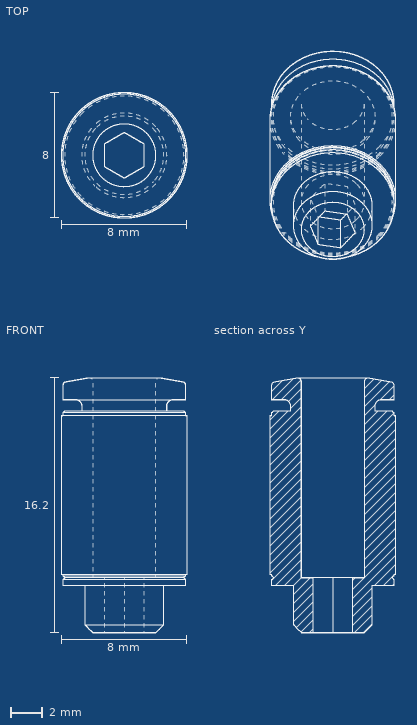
import cadquery as cq
import math

stem_height = 3.0
groove_z = 3.5
sleeve_bottom_z = 3.7
sleeve_top_z = 13.8
body_top_z = 14.1
cap_bottom_z = 14.8
overall_height = 16.2

stem_radius = 5.0 / 2
stem_chamfer = 0.5
body_radius = 7.8 / 2
sleeve_radius = 8.0 / 2
edge_chamfer = 0.12
neck_radius = 5.4 / 2
neck_fillet = 0.4
cap_radius = body_radius
cap_slope = math.radians(10)
rim_fillet = 0.2

bore_radius = 4.0 / 2
bore_lip_fillet = 0.25
bore_floor_z = groove_z
hex_across_flats = 2.5


def arc_point(center, radius, angle):
    """Point on a circle of the (r, z) half-plane; angle 0 points outward."""
    return (
        center[0] + radius * math.cos(angle),
        center[1] + radius * math.sin(angle),
    )


def stem_and_body_outline(profile):
    """Add the outline from the stem tip up to the foot of the neck."""
    chamfered_radius = body_radius - edge_chamfer
    return (
        profile.lineTo(stem_radius - stem_chamfer, 0)
        .lineTo(stem_radius, stem_chamfer)
        .lineTo(stem_radius, stem_height)
        .lineTo(body_radius, stem_height)
        .lineTo(body_radius, groove_z - edge_chamfer)
        .lineTo(chamfered_radius, groove_z)
        .lineTo(body_radius, groove_z + edge_chamfer)
        .lineTo(body_radius, sleeve_bottom_z)
        .lineTo(sleeve_radius, sleeve_bottom_z)
        .lineTo(sleeve_radius, sleeve_top_z)
        .lineTo(body_radius, sleeve_top_z)
        .lineTo(body_radius, body_top_z - edge_chamfer)
        .lineTo(chamfered_radius, body_top_z)
        .lineTo(neck_radius, body_top_z)
    )


def release_cap_outline(profile):
    """Add the flared neck and the cap, whose conical face runs tangent into rim and lip."""
    flare_center = (neck_radius + neck_fillet, cap_bottom_z - neck_fillet)

    cone_normal = math.pi / 2 - cap_slope
    lip_center = (bore_radius + bore_lip_fillet, overall_height - bore_lip_fillet)
    lip_start = arc_point(lip_center, bore_lip_fillet, cone_normal)
    rim_end_radius = cap_radius - rim_fillet + rim_fillet * math.cos(cone_normal)
    rim_end_z = lip_start[1] - (rim_end_radius - lip_start[0]) * math.tan(cap_slope)
    rim_center = (cap_radius - rim_fillet, rim_end_z - rim_fillet * math.sin(cone_normal))

    return (
        profile.lineTo(neck_radius, flare_center[1])
        .threePointArc(
            arc_point(flare_center, neck_fillet, math.radians(135)),
            (flare_center[0], cap_bottom_z),
        )
        .lineTo(cap_radius, cap_bottom_z)
        .lineTo(cap_radius, rim_center[1])
        .threePointArc(
            arc_point(rim_center, rim_fillet, cone_normal / 2),
            (rim_end_radius, rim_end_z),
        )
        .lineTo(*lip_start)
        .threePointArc(
            arc_point(lip_center, bore_lip_fillet, (cone_normal + math.pi) / 2),
            (bore_radius, lip_center[1]),
        )
    )


def turned_body():
    """Revolve the outline about Z, including the blind tube bore."""
    profile = cq.Workplane("XZ").moveTo(0, 0)
    profile = stem_and_body_outline(profile)
    profile = release_cap_outline(profile)
    profile = profile.lineTo(bore_radius, bore_floor_z).lineTo(0, bore_floor_z).close()
    return profile.revolve(360, (0, 0, 0), (0, 1, 0))


def hex_socket():
    """Hexagonal prism through the bore floor, with two corners on the Y axis."""
    across_corners = hex_across_flats / math.cos(math.pi / 6)
    return (
        cq.Workplane("XY")
        .transformed(rotate=(0, 0, 90))
        .polygon(6, across_corners)
        .extrude(overall_height)
    )


result = turned_body().cut(hex_socket())